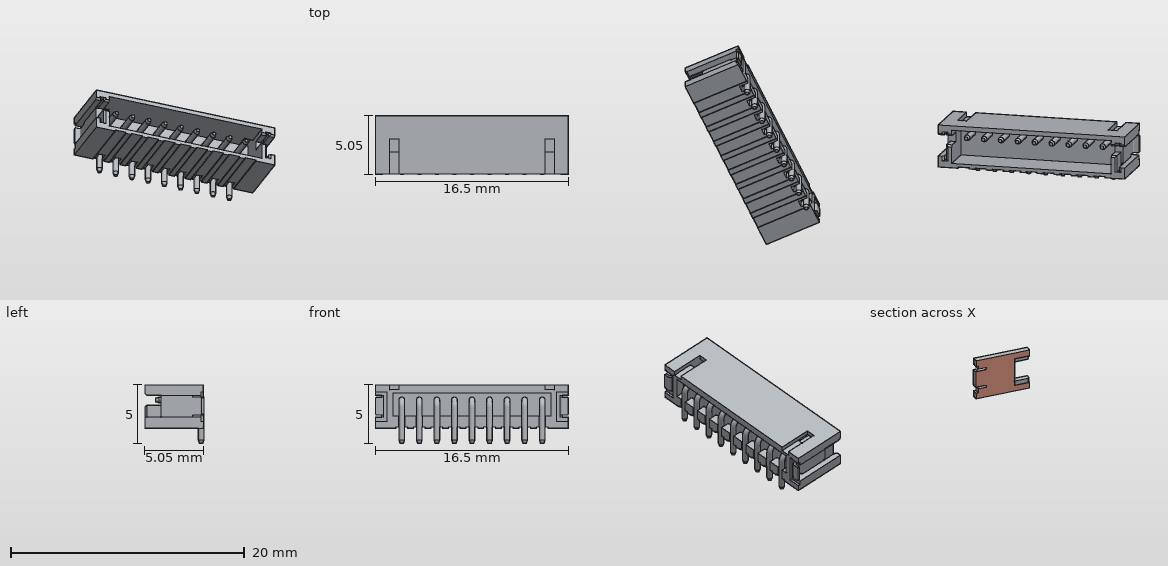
import cadquery as cq


LENGTH = 16.5
DEPTH = 5.0
HEIGHT = 3.71
HALF_LENGTH = LENGTH / 2

PANEL_THICKNESS = 0.4
CEILING_Z = HEIGHT - PANEL_THICKNESS
CAVITY_INSET = 1.2
CAVITY_START_Y = 1.9

TOP_SLOT_WIDTH = 0.8
TOP_SLOT_LENGTH = 2.99

BAY_INSET = 1.5
BAY_DEPTH = 0.8
BAY_FLOOR_Z = 1.07
BAY_CEILING_Z = 3.02

PIN_COUNT = 9
PITCH = LENGTH / (PIN_COUNT + 2)
PIN_RADIUS = 0.25
PIN_TIP_RADIUS = 0.15
PIN_TIP_LENGTH = 0.3
PIN_BEND_RADIUS = 0.61
PIN_LEG_Y = 0.2
PIN_AXIS_Z = 2.43
PIN_FRONT_Y = 4.11
PIN_BOTTOM_Z = -1.29

PIN_SLOT_WIDTH = 0.53
UNDERSIDE_GROOVE_WIDTH = 0.99
UNDERSIDE_GROOVE_DEPTH = 0.1

CHANNEL_DEPTH = 0.71
CHANNEL_BOTTOM_Z = 0.97
CHANNEL_TOP_Z = 2.82
CHANNEL_MIDDLE_Z = (CHANNEL_BOTTOM_Z + CHANNEL_TOP_Z) / 2

RECESS_LENGTH = 1.0
RECESS_DEPTH = 0.2
RECESS_BOTTOM_Z = 0.58
RECESS_TOP_Z = 3.12

MOUTH_START_Y = 3.63
MOUTH_BOTTOM_Z = 2.0
MOUTH_CHAMFER = 0.16

TAB_THICKNESS = 0.2
TAB_OUTER_INSET = CHANNEL_DEPTH - TAB_THICKNESS
TAB_REAR_Y = PIN_LEG_Y - PIN_RADIUS
TAB_SHOULDER_Y = 0.94
TAB_NECK_HEIGHT = 1.53
TAB_PLATE_OVERLAP = 0.02
TAB_INNER_BEND = 0.12
TAB_SHOULDER_FILLET = 0.1
TAB_CORNER_CHAMFER = 0.08


def block(x_range, y_range, z_range):
    """Box spanning the given (low, high) ranges."""
    spans = [high - low for low, high in (x_range, y_range, z_range)]
    corner = (x_range[0], y_range[0], z_range[0])
    return cq.Workplane("XY").box(*spans, centered=False).translate(corner)


def centred(middle, width):
    """Range of the given width about a middle value."""
    return (middle - width / 2, middle + width / 2)


def from_end(near, far):
    """X range at the -X end, given as two distances in from the end face."""
    return (near - HALF_LENGTH, far - HALF_LENGTH)


def on_both_ends(shape):
    """The shape together with its mirror image about X = 0."""
    return shape.union(shape.mirror("YZ"))


def pin_positions():
    first = -(PIN_COUNT - 1) / 2 * PITCH
    return [first + index * PITCH for index in range(PIN_COUNT)]


def end_channel():
    """Side channel, rear recess and tab slot mouth at the -X end."""
    channel = block(from_end(0, CHANNEL_DEPTH), (0, DEPTH), (CHANNEL_BOTTOM_Z, CHANNEL_TOP_Z))
    recess = block(from_end(0, RECESS_LENGTH), (0, RECESS_DEPTH), (RECESS_BOTTOM_Z, RECESS_TOP_Z))

    outer_x, inner_x = from_end(TAB_OUTER_INSET, CHANNEL_DEPTH)
    tab_slot = (
        cq.Workplane("XY", origin=(0, 0, RECESS_BOTTOM_Z))
        .moveTo(outer_x, MOUTH_START_Y)
        .lineTo(inner_x, MOUTH_START_Y)
        .lineTo(inner_x, DEPTH - MOUTH_CHAMFER)
        .lineTo(inner_x + MOUTH_CHAMFER, DEPTH)
        .lineTo(outer_x - MOUTH_CHAMFER, DEPTH)
        .lineTo(outer_x, DEPTH - MOUTH_CHAMFER)
        .close()
        .extrude(RECESS_TOP_Z - RECESS_BOTTOM_Z)
    )
    return channel.union(recess).union(tab_slot)


def end_wall_notch():
    """Notch from the -X end face into the cavity, flared at the plug face."""
    return (
        cq.Workplane("YZ", origin=(-HALF_LENGTH, 0, 0))
        .moveTo(MOUTH_START_Y, MOUTH_BOTTOM_Z)
        .lineTo(DEPTH - MOUTH_CHAMFER, MOUTH_BOTTOM_Z)
        .lineTo(DEPTH, MOUTH_BOTTOM_Z - MOUTH_CHAMFER)
        .lineTo(DEPTH, CHANNEL_TOP_Z + MOUTH_CHAMFER)
        .lineTo(DEPTH - MOUTH_CHAMFER, CHANNEL_TOP_Z)
        .lineTo(MOUTH_START_Y, CHANNEL_TOP_Z)
        .close()
        .extrude(CAVITY_INSET)
    )


def housing():
    body = block((-HALF_LENGTH, HALF_LENGTH), (0, DEPTH), (0, HEIGHT))

    cavity_x = centred(0, LENGTH - 2 * CAVITY_INSET)
    body = body.cut(block(cavity_x, (CAVITY_START_Y, DEPTH), (PANEL_THICKNESS, CEILING_Z)))

    bay_x = centred(0, LENGTH - 2 * BAY_INSET)
    body = body.cut(block(bay_x, (0, BAY_DEPTH), (BAY_FLOOR_Z, BAY_CEILING_Z)))

    top_slot_x = from_end(CAVITY_INSET, CAVITY_INSET + TOP_SLOT_WIDTH)
    top_slot = block(top_slot_x, (0, TOP_SLOT_LENGTH), (CEILING_Z, HEIGHT))
    for cutter in (top_slot, end_channel(), end_wall_notch()):
        body = body.cut(on_both_ends(cutter))

    for x in pin_positions():
        pin_slot = block(centred(x, PIN_SLOT_WIDTH), (0, BAY_DEPTH), (0, BAY_FLOOR_Z))
        groove_x = centred(x, UNDERSIDE_GROOVE_WIDTH)
        underside_groove = block(groove_x, (0, DEPTH), (0, UNDERSIDE_GROOVE_DEPTH))
        body = body.cut(pin_slot).cut(underside_groove)
    return body


def pin_tip(base, direction):
    """Truncated cone on the end of a pin."""
    centre = cq.Vector(*base)
    axis = cq.Vector(*direction)
    cone = cq.Solid.makeCone(PIN_RADIUS, PIN_TIP_RADIUS, PIN_TIP_LENGTH, centre, axis)
    return cq.Workplane(cone)


def pin():
    """Right-angle pin in the plane X = 0."""
    leg_end_z = PIN_BOTTOM_Z + PIN_TIP_LENGTH
    contact_end_y = PIN_FRONT_Y - PIN_TIP_LENGTH
    bend_y = PIN_LEG_Y + PIN_BEND_RADIUS
    bend_z = PIN_AXIS_Z - PIN_BEND_RADIUS

    path = (
        cq.Workplane("YZ")
        .moveTo(PIN_LEG_Y, leg_end_z)
        .lineTo(PIN_LEG_Y, bend_z)
        .radiusArc((bend_y, PIN_AXIS_Z), PIN_BEND_RADIUS)
        .lineTo(contact_end_y, PIN_AXIS_Z)
    )
    wire = (
        cq.Workplane("XY", origin=(0, PIN_LEG_Y, leg_end_z))
        .circle(PIN_RADIUS)
        .sweep(path)
    )
    leg_tip = pin_tip((0, PIN_LEG_Y, leg_end_z), (0, 0, -1))
    contact_tip = pin_tip((0, contact_end_y, PIN_AXIS_Z), (0, 1, 0))
    return wire.union(leg_tip).union(contact_tip)


def solder_tab():
    """Tab at the -X end: plate along the end wall, neck, and foot bent outward."""
    outer_x, inner_x = from_end(TAB_OUTER_INSET, CHANNEL_DEPTH)
    foot_front_y = TAB_REAR_Y + TAB_THICKNESS
    neck_z = centred(CHANNEL_MIDDLE_Z, TAB_NECK_HEIGHT)
    plate_z = (CHANNEL_BOTTOM_Z - TAB_PLATE_OVERLAP, CHANNEL_TOP_Z + TAB_PLATE_OVERLAP)

    foot = (
        cq.Workplane("XY", origin=(0, 0, neck_z[0]))
        .moveTo(-HALF_LENGTH, TAB_REAR_Y)
        .lineTo(outer_x, TAB_REAR_Y)
        .radiusArc((inner_x, foot_front_y), -TAB_THICKNESS)
        .lineTo(inner_x, TAB_SHOULDER_Y)
        .lineTo(outer_x, TAB_SHOULDER_Y)
        .lineTo(outer_x, foot_front_y + TAB_INNER_BEND)
        .radiusArc((outer_x - TAB_INNER_BEND, foot_front_y), TAB_INNER_BEND)
        .lineTo(-HALF_LENGTH, foot_front_y)
        .close()
        .extrude(TAB_NECK_HEIGHT)
        .faces("<X")
        .edges("|Y")
        .chamfer(TAB_CORNER_CHAMFER)
    )
    plate = (
        block((outer_x, inner_x), (TAB_SHOULDER_Y, MOUTH_START_Y), plate_z)
        .faces(">Y")
        .edges("|X")
        .chamfer(TAB_CORNER_CHAMFER)
    )
    tab = foot.union(plate)
    for z in neck_z:
        corner_point = ((outer_x + inner_x) / 2, TAB_SHOULDER_Y, z)
        shoulder_corner = cq.selectors.NearestToPointSelector(corner_point)
        tab = tab.edges("|X").edges(shoulder_corner).fillet(TAB_SHOULDER_FILLET)
    return tab


result = housing().union(on_both_ends(solder_tab()))
for pin_x in pin_positions():
    result = result.union(pin().translate((pin_x, 0, 0)))